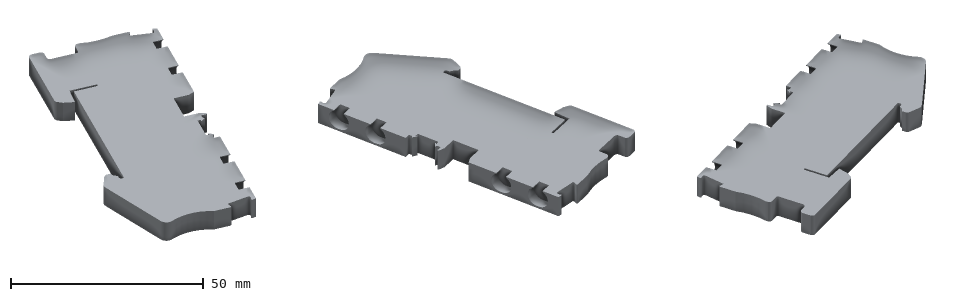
import math

import cadquery as cq

BODY_WIDTH = 76.65
HEIGHT = 35.25
THICKNESS = 6.15

SHOULDER_Y = 27.85
SIDE_ARC_TOP = 23.2

GRIP_BOTTOM = 14.3
GRIP_HOLLOW = 0.55
NOTCH_TOP = 12.74
NOTCH_BOTTOM = 4.2
NOTCH_DEPTH = 3.5
NOTCH_TOP_CORNER = 0.45
NOTCH_BOTTOM_CORNER = 0.9
FOOT_CORNER = 1.0
SPRING_SLOT_LEFT = 17.4
SPRING_SLOT_WIDTH = 0.66
FOOT_LEDGE_Y = 5.1
FOOT_NOSE = [(22.25, 4.8), (21.45, 1.75), (20.55, 0.35), (20.0, 0)]

SEAT_Y = 6.05
SEAT_RIGHT = 55.85
RIGHT_GRIP_MIDDLE = (75.45, 17.3)
RIGHT_GRIP_END = (76.8, 11.4)
RIGHT_CORNER_MIDDLE = (76.65, 9.8)
RIGHT_CORNER_END = (75.7, 8.85)
RIGHT_FOOT_BOTTOM = [(58.3, 0.35), (57.5, 0), (56.9, 0), (56.1, 0.3), (53.7, 1.35)]
RIGHT_TOE_MIDDLE = (53.2, 1.75)
RIGHT_TOE_END = (53.0, 2.3)
RIGHT_TOE_TOP = [(53.0, 3.3), (53.8, 3.7), (54.6, 4.8), (55.4, 4.85), (SEAT_RIGHT, 5.2)]

DEEP_LEFT = 29.65
DEEP_RIGHT = 37.55
DEEP_FLOOR = 29.35
DEEP_BEVEL_Y = 33.5
DEEP_BEVEL = 0.7
POST_RIGHT = 38.65
CLIP_RIGHT = 48.45
CLIP_LEDGE = 33.65
CLIP_FLOOR = 32.05
CLIP_MIDDLE = 43.55
CLIP_HALF_WIDTH = 3.2

SLOT_OFFSETS = (7.55, 18.88)
SLOT_WIDTH = 3.0
SLOT_LENGTH = 3.0
SLOT_LIP = 0.25
SLOT_RADIUS = 2.75
SLOT_FLOOR_WIDTH = 0.7


def mirrored(points, middle):
    """Mirror points about the line x = middle and reverse their order."""
    return [(2 * middle - x, y) for x, y in reversed(points)]


def upper_left_side():
    """Left side from the shoulder up to the top edge, with the snap groove."""
    return [
        (0, SHOULDER_Y),
        (0.25, 28.1),
        (1.2, 27.65),
        (1.6, 27.7),
        (2.6, 33.7),
        (2.2, 34.1),
        (1.6, 34.1),
        (1.2, 33.9),
        (0.93, 34.1),
        (1.16, HEIGHT),
    ]


def deep_opening():
    """Square opening with a flared mouth; its right wall ends in a thin post."""
    return [
        (DEEP_LEFT - DEEP_BEVEL, HEIGHT),
        (DEEP_LEFT, DEEP_BEVEL_Y),
        (DEEP_LEFT, DEEP_FLOOR),
        (DEEP_RIGHT, DEEP_FLOOR),
        (DEEP_RIGHT, DEEP_BEVEL_Y),
        (DEEP_RIGHT + DEEP_BEVEL, HEIGHT),
        (POST_RIGHT, HEIGHT),
    ]


def clip_opening():
    """Stepped opening with a small barbed hook on either side of its floor."""
    left_hook = [
        (39.55, CLIP_LEDGE),
        (40.0, 34.15),
        (40.85, 33.0),
        (40.75, 32.75),
        (CLIP_MIDDLE - CLIP_HALF_WIDTH, 33.1),
        (CLIP_MIDDLE - CLIP_HALF_WIDTH, CLIP_FLOOR),
    ]
    right_hook = mirrored(left_hook, CLIP_MIDDLE)
    right_step = [(CLIP_RIGHT, CLIP_LEDGE), (CLIP_RIGHT, HEIGHT)]
    return [(POST_RIGHT, CLIP_LEDGE)] + left_hook + right_hook + right_step


def draw_lines(outline, points):
    """Continue the outline with straight lines through the points."""
    for point in points:
        outline = outline.lineTo(*point)
    return outline


def draw_right_foot(outline):
    """Continue from the right shoulder down round the right foot to the rail seat."""
    outline = outline.lineTo(BODY_WIDTH, SIDE_ARC_TOP)
    outline = outline.threePointArc(RIGHT_GRIP_MIDDLE, RIGHT_GRIP_END)
    outline = outline.threePointArc(RIGHT_CORNER_MIDDLE, RIGHT_CORNER_END)
    outline = draw_lines(outline, RIGHT_FOOT_BOTTOM)
    outline = outline.threePointArc(RIGHT_TOE_MIDDLE, RIGHT_TOE_END)
    outline = draw_lines(outline, RIGHT_TOE_TOP)
    return outline.lineTo(SEAT_RIGHT, SEAT_Y)


def draw_spring_slot(outline):
    """Continue along the rail seat and round the narrow slot that frees the left foot."""
    slot_right = SPRING_SLOT_LEFT + SPRING_SLOT_WIDTH
    slot_middle = SPRING_SLOT_LEFT + SPRING_SLOT_WIDTH / 2
    slot_end = NOTCH_TOP - SPRING_SLOT_WIDTH / 2
    outline = outline.lineTo(slot_right, SEAT_Y).lineTo(slot_right, slot_end)
    outline = outline.threePointArc((slot_middle, NOTCH_TOP), (SPRING_SLOT_LEFT, slot_end))
    return outline.lineTo(SPRING_SLOT_LEFT, FOOT_LEDGE_Y)


def draw_left_foot(outline):
    """Continue round the left foot and its side notch, then up the hollow grip."""
    notch = [
        (0, 0),
        (0, NOTCH_BOTTOM),
        (NOTCH_DEPTH, NOTCH_BOTTOM),
        (NOTCH_DEPTH, NOTCH_TOP),
        (0, NOTCH_TOP),
        (0, GRIP_BOTTOM),
    ]
    grip_middle = (GRIP_HOLLOW, (SIDE_ARC_TOP + GRIP_BOTTOM) / 2)
    outline = draw_lines(outline, FOOT_NOSE + notch)
    return outline.threePointArc(grip_middle, (0, SIDE_ARC_TOP))


def make_plate():
    """Extrude the closed outline, drawn clockwise from the left shoulder."""
    left_side = upper_left_side()
    right_side = mirrored(left_side, BODY_WIDTH / 2)
    top_edge = deep_opening() + clip_opening()
    outline = cq.Workplane("XY").moveTo(*left_side[0])
    outline = draw_lines(outline, left_side[1:] + top_edge + right_side)
    outline = draw_right_foot(outline)
    outline = draw_spring_slot(outline)
    outline = draw_left_foot(outline)
    return outline.close().extrude(THICKNESS)


def round_upright_edge(body, x, y, radius):
    """Fillet the upright edge that stands at (x, y)."""
    margin = 0.05
    low = (x - margin, y - margin, -margin)
    high = (x + margin, y + margin, THICKNESS + margin)
    return body.edges("|Z").edges(cq.selectors.BoxSelector(low, high)).fillet(radius)


def marker_slot(x):
    """Slot cutter: a racetrack channel with a narrower straight-sided mouth to the front face."""
    mouth_reach = (SLOT_WIDTH - SLOT_FLOOR_WIDTH) / 2
    axis_depth = SLOT_LIP + math.sqrt(SLOT_RADIUS**2 - mouth_reach**2)
    channel_width = SLOT_FLOOR_WIDTH + 2 * SLOT_RADIUS
    channel = cq.Workplane("XZ").slot2D(channel_width, 2 * SLOT_RADIUS).extrude(SLOT_LENGTH)
    mouth = cq.Workplane("XY").box(SLOT_WIDTH, SLOT_LENGTH, axis_depth, centered=(True, False, False))
    cutter = channel.union(mouth.translate((0, -SLOT_LENGTH, 0)))
    return cutter.translate((x, HEIGHT, THICKNESS - axis_depth))


result = make_plate()
for corner_y in (0, NOTCH_BOTTOM, NOTCH_TOP):
    result = round_upright_edge(result, 0, corner_y, FOOT_CORNER)
result = round_upright_edge(result, NOTCH_DEPTH, NOTCH_TOP, NOTCH_TOP_CORNER)
result = round_upright_edge(result, NOTCH_DEPTH, NOTCH_BOTTOM, NOTCH_BOTTOM_CORNER)
for offset in SLOT_OFFSETS:
    for slot_x in (offset, BODY_WIDTH - offset):
        result = result.cut(marker_slot(slot_x))